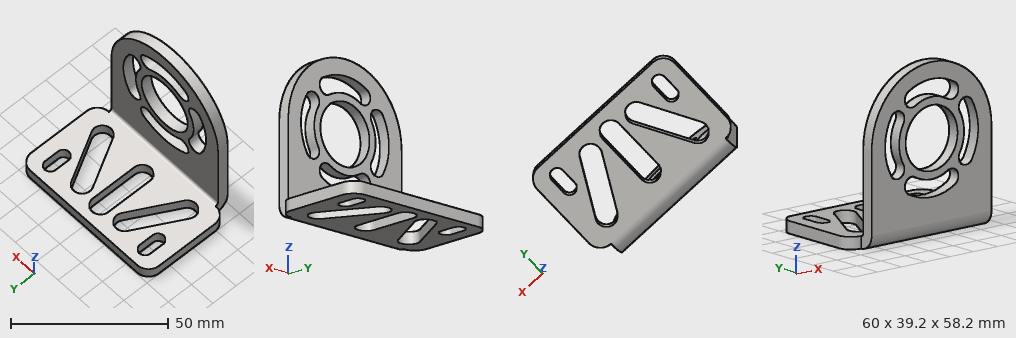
import cadquery as cq
import math


THICKNESS = 4.2
BEND_INNER_RADIUS = 1.0
BEND_OUTER_RADIUS = THICKNESS + BEND_INNER_RADIUS

BASE_WIDTH = 60.0
DEPTH = 39.2
HEIGHT = 58.2
BASE_CORNER_RADIUS = 5.0
WALL_WIDTH = BASE_WIDTH - 2 * BASE_CORNER_RADIUS
WALL_TOP_RADIUS = WALL_WIDTH / 2
BORE_HEIGHT = HEIGHT - WALL_TOP_RADIUS

BORE_RADIUS = 10.8
ARC_SLOT_COUNT = 4
ARC_SLOT_INNER_RADIUS = 13.55
ARC_SLOT_OUTER_RADIUS = 19.4
ARC_SLOT_HALF_ANGLE = 30.0

SIDE_SLOT_WIDTH = 4.75
SIDE_SLOT_X = 22.2
SIDE_SLOT_BACK = (6.05, 11.65)
WIDE_SLOT_WIDTH = 7.2
MIDDLE_SLOT_BACK = (7.25, 25.25)
SLANTED_SLOT_X = (9.95, 19.85)
SLANTED_SLOT_BACK = (8.45, 26.35)


def make_base():
    """Rounded rectangular foot behind the bend."""
    length = DEPTH - BEND_OUTER_RADIUS
    return (
        cq.Workplane("XY")
        .center(0, BEND_OUTER_RADIUS + length / 2)
        .rect(BASE_WIDTH, length)
        .extrude(THICKNESS)
        .edges("|Z")
        .fillet(BASE_CORNER_RADIUS)
    )


def make_bend():
    """Quarter-turn strip joining the base to the wall."""
    bend_centre = BEND_OUTER_RADIUS
    outer_mid = bend_centre - BEND_OUTER_RADIUS * math.sqrt(0.5)
    inner_mid = bend_centre - BEND_INNER_RADIUS * math.sqrt(0.5)
    return (
        cq.Workplane("YZ")
        .moveTo(bend_centre, 0)
        .threePointArc((outer_mid, outer_mid), (0, bend_centre))
        .lineTo(THICKNESS, bend_centre)
        .threePointArc((inner_mid, inner_mid), (bend_centre, THICKNESS))
        .close()
        .extrude(WALL_WIDTH / 2, both=True)
    )


def make_wall():
    """Upright plate with a half-round top."""
    return (
        cq.Workplane("XZ")
        .moveTo(-WALL_WIDTH / 2, BEND_OUTER_RADIUS)
        .lineTo(WALL_WIDTH / 2, BEND_OUTER_RADIUS)
        .lineTo(WALL_WIDTH / 2, BORE_HEIGHT)
        .threePointArc((0, HEIGHT), (-WALL_WIDTH / 2, BORE_HEIGHT))
        .close()
        .extrude(-THICKNESS)
    )


def bore_cutter():
    return cq.Workplane("XZ").center(0, BORE_HEIGHT).circle(BORE_RADIUS).extrude(-THICKNESS)


def arc_slot_cutter(direction):
    """Round-ended slot curved about the bore, centred on the given direction in degrees."""
    mid_radius = (ARC_SLOT_INNER_RADIUS + ARC_SLOT_OUTER_RADIUS) / 2
    end_radius = (ARC_SLOT_OUTER_RADIUS - ARC_SLOT_INNER_RADIUS) / 2
    tip_angle = math.degrees(2 * math.asin(end_radius / (2 * mid_radius)))

    def point(radius, turn):
        angle = math.radians(direction + turn)
        return (radius * math.cos(angle), radius * math.sin(angle))

    start = -ARC_SLOT_HALF_ANGLE
    end = ARC_SLOT_HALF_ANGLE
    return (
        cq.Workplane("XZ")
        .center(0, BORE_HEIGHT)
        .moveTo(*point(ARC_SLOT_OUTER_RADIUS, start))
        .threePointArc(point(ARC_SLOT_OUTER_RADIUS, 0), point(ARC_SLOT_OUTER_RADIUS, end))
        .threePointArc(point(mid_radius, end + tip_angle), point(ARC_SLOT_INNER_RADIUS, end))
        .threePointArc(point(ARC_SLOT_INNER_RADIUS, 0), point(ARC_SLOT_INNER_RADIUS, start))
        .threePointArc(point(mid_radius, start - tip_angle), point(ARC_SLOT_OUTER_RADIUS, start))
        .close()
        .extrude(-THICKNESS)
    )


def base_slot_cutter(width, x_ends, back_ends):
    """Straight slot through the base between two end centres, rear end first."""
    run_x = x_ends[1] - x_ends[0]
    run_y = back_ends[0] - back_ends[1]
    length = math.hypot(run_x, run_y) + width
    angle = math.degrees(math.atan2(run_y, run_x))
    return (
        cq.Workplane("XY")
        .center(sum(x_ends) / 2, DEPTH - sum(back_ends) / 2)
        .slot2D(length, width, angle)
        .extrude(THICKNESS)
    )


result = make_base().union(make_bend()).union(make_wall())

result = result.cut(bore_cutter())
for index in range(ARC_SLOT_COUNT):
    result = result.cut(arc_slot_cutter(index * 360 / ARC_SLOT_COUNT))

result = result.cut(base_slot_cutter(WIDE_SLOT_WIDTH, (0, 0), MIDDLE_SLOT_BACK))
for side in (-1, 1):
    side_x = side * SIDE_SLOT_X
    slanted_x = [side * x for x in SLANTED_SLOT_X]
    result = result.cut(base_slot_cutter(SIDE_SLOT_WIDTH, (side_x, side_x), SIDE_SLOT_BACK))
    result = result.cut(base_slot_cutter(WIDE_SLOT_WIDTH, slanted_x, SLANTED_SLOT_BACK))